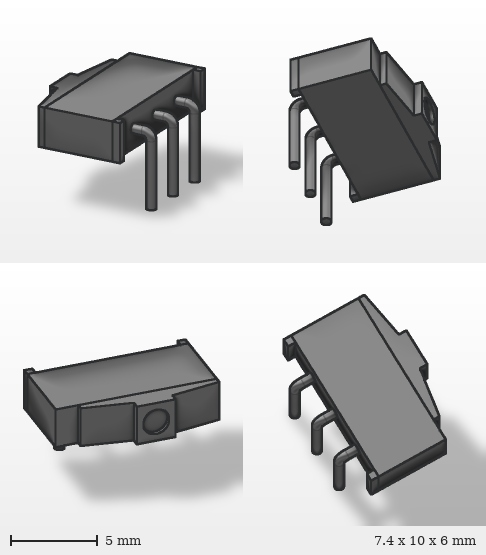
import cadquery as cq

housing_depth = 4.5
housing_width = 10.0
housing_height = 2.5
mid_height = housing_height / 2
half_width = housing_width / 2

cover_width = 8.6
cover_edge_depth = 0.4
cover_peak_depth = 0.9
boss_width = 2.4
boss_depth = 0.5
recess_diameter = 1.6
recess_depth = 0.3

standoff_size = 0.5

pin_diameter = 0.6
pin_pitch = 2.54
pin_count = 3
pin_bend_radius = 0.5
pin_reach = 1.2
pin_drop = 3.5


def make_housing():
    return cq.Workplane("XY").box(
        housing_depth, housing_width, housing_height, centered=(False, True, False)
    )


def make_cover():
    """Tapered plate flush with the -Y end of the housing, with a recessed boss."""
    near_end = -half_width
    far_end = near_end + cover_width
    centre = (near_end + far_end) / 2
    boss_near = centre - boss_width / 2
    boss_far = centre + boss_width / 2
    boss_face = -(cover_peak_depth + boss_depth)
    plate = (
        cq.Workplane("XY")
        .moveTo(0, near_end)
        .lineTo(-cover_edge_depth, near_end)
        .lineTo(-cover_peak_depth, boss_near)
        .lineTo(boss_face, boss_near)
        .lineTo(boss_face, boss_far)
        .lineTo(-cover_peak_depth, boss_far)
        .lineTo(-cover_edge_depth, far_end)
        .lineTo(0, far_end)
        .close()
        .extrude(housing_height)
    )
    recess = (
        cq.Workplane("YZ", origin=(boss_face, centre, mid_height))
        .circle(recess_diameter / 2)
        .extrude(recess_depth)
    )
    return plate.cut(recess)


def make_standoff(side):
    """Standoff on the rear corner at the -Y (side = -1) or +Y (side = 1) end."""
    centre = side * (half_width - standoff_size / 2)
    return (
        cq.Workplane("XY", origin=(housing_depth, centre, 0))
        .box(standoff_size, standoff_size, housing_height, centered=(False, True, False))
    )


def make_pin(y):
    """Round pin that runs straight out of the rear face, then bends downwards."""
    path = (
        cq.Workplane("XZ", origin=(housing_depth, y, mid_height))
        .lineTo(pin_reach - pin_bend_radius, 0)
        .tangentArcPoint((pin_bend_radius, -pin_bend_radius))
        .lineTo(pin_reach, -(mid_height + pin_drop))
    )
    return (
        cq.Workplane("YZ", origin=(housing_depth, y, mid_height))
        .circle(pin_diameter / 2)
        .sweep(path)
    )


housing = make_housing()
cover = make_cover()
standoffs = [make_standoff(side) for side in (-1, 1)]
pins = [make_pin((i - (pin_count - 1) / 2) * pin_pitch) for i in range(pin_count)]

bodies = [housing, cover, *standoffs, *pins]
result = cq.Compound.makeCompound([body.val() for body in bodies])